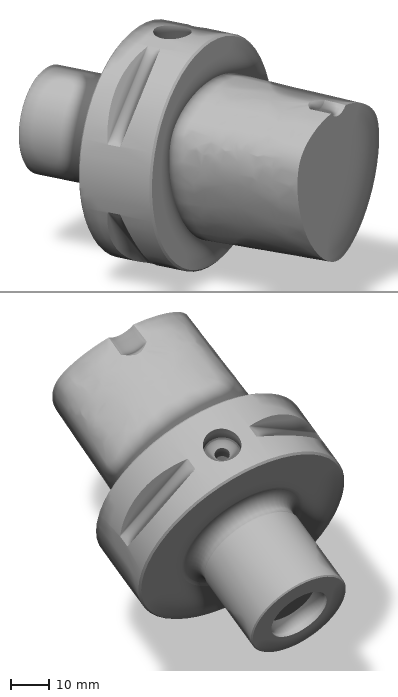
import cadquery as cq
import math

total_length = 88.0
relief_start = 23.1
relief_end = 24.9
flange_front = 28.0
flange_back = 50.0

pilot_radius = 29.0 / 2
pilot_chamfer = 0.35
relief_radius = 28.5 / 2
relief_ramp = 0.5
root_fillet = 3.3
recess_radius = 18.6
bore_radius = 17.0 / 2
bore_depth = 5.7

flange_radius = 63.0 / 2
flange_chamfer = 0.5

groove_x = 38.0
groove_floor_width = 3.7
groove_floor_distance = 27.9
groove_wall_angle = 30.0
groove_floor_fillet = 0.35
groove_angles = (45, 135, 225, 315)

pocket_radius = 10.0 / 2
pocket_depth = 4.75
pocket_floor_chamfer = 0.35
drill_radius = 4.0 / 2
drill_depth = 4.0
drill_point_angle = 118.0

shank_large_radius = 22.1
shank_small_radius = 21.0
lobe_height = 1.6
lobe_count = 3
outline_points = 48

notch_radius = 10.0 / 2
notch_length = 6.3
notch_axis_height = 22.5


def turned_body():
    """Pilot, relief, fillet and flange as one revolved profile."""
    fillet_end_x = relief_end + root_fillet
    fillet_end_radius = relief_radius + root_fillet
    fillet_mid = (
        relief_end + root_fillet * math.sin(math.pi / 4),
        fillet_end_radius - root_fillet * math.cos(math.pi / 4),
    )
    profile = (
        cq.Workplane("XY")
        .moveTo(0, 0)
        .lineTo(0, pilot_radius - pilot_chamfer)
        .lineTo(pilot_chamfer, pilot_radius)
        .lineTo(relief_start, pilot_radius)
        .lineTo(relief_start + relief_ramp, relief_radius)
        .lineTo(relief_end, relief_radius)
        .threePointArc(fillet_mid, (fillet_end_x, fillet_end_radius))
        .lineTo(flange_front, recess_radius)
        .lineTo(flange_front, flange_radius - flange_chamfer)
        .lineTo(flange_front + flange_chamfer, flange_radius)
        .lineTo(flange_back - flange_chamfer, flange_radius)
        .lineTo(flange_back, flange_radius - flange_chamfer)
        .lineTo(flange_back, 0)
        .close()
    )
    return profile.revolve(360, (0, 0, 0), (1, 0, 0))


def shank_outline(mean_radius):
    """Points of a constant-width curve in Y, Z with one lobe pointing down."""
    points = []
    for i in range(outline_points):
        angle = 2 * math.pi * i / outline_points
        lobe_phase = lobe_count * angle
        reach = mean_radius + lobe_height * math.sin(lobe_phase)
        shift = lobe_count * lobe_height * math.cos(lobe_phase)
        y = reach * math.cos(angle) - shift * math.sin(angle)
        z = reach * math.sin(angle) + shift * math.cos(angle)
        points.append((y, z))
    return points


def shank():
    return (
        cq.Workplane("YZ", origin=(flange_back, 0, 0))
        .spline(shank_outline(shank_large_radius), periodic=True)
        .close()
        .workplane(offset=total_length - flange_back)
        .spline(shank_outline(shank_small_radius), periodic=True)
        .close()
        .loft(ruled=True, combine=True)
    )


def bore():
    return cq.Workplane("YZ").circle(bore_radius).extrude(bore_depth)


def gripper_groove(angle):
    """Trapezoidal groove, drawn at the top and turned about X into place."""
    depth = flange_radius - groove_floor_distance
    floor_half = groove_floor_width / 2
    mouth_half = floor_half + depth * math.tan(math.radians(groove_wall_angle))
    cutter = (
        cq.Workplane("XZ")
        .polyline([
            (groove_x - floor_half, groove_floor_distance),
            (groove_x + floor_half, groove_floor_distance),
            (groove_x + mouth_half, flange_radius),
            (groove_x - mouth_half, flange_radius),
        ])
        .close()
        .extrude(flange_radius, both=True)
        .faces("<Z")
        .edges("|Y")
        .fillet(groove_floor_fillet)
    )
    return cutter.rotate((0, 0, 0), (1, 0, 0), angle)


def top_pocket():
    """Flat pocket with a small pointed drill hole in its floor."""
    floor = flange_radius - pocket_depth
    drill_end = floor - drill_depth
    point_length = drill_radius / math.tan(math.radians(drill_point_angle / 2))
    profile = (
        cq.Workplane("XZ", origin=(groove_x, 0, 0))
        .moveTo(0, flange_radius)
        .lineTo(pocket_radius, flange_radius)
        .lineTo(pocket_radius, floor + pocket_floor_chamfer)
        .lineTo(pocket_radius - pocket_floor_chamfer, floor)
        .lineTo(drill_radius, floor)
        .lineTo(drill_radius, drill_end)
        .lineTo(0, drill_end - point_length)
        .close()
    )
    return profile.revolve(360, (0, 0, 0), (0, 1, 0))


def orienting_notch():
    """Cylinder along X ending in a 45 degree cone."""
    cone_base = total_length - notch_length
    profile = (
        cq.Workplane("XZ", origin=(0, 0, notch_axis_height))
        .moveTo(cone_base - notch_radius, 0)
        .lineTo(cone_base, notch_radius)
        .lineTo(total_length, notch_radius)
        .lineTo(total_length, 0)
        .close()
    )
    return profile.revolve(360, (0, 0, 0), (1, 0, 0))


result = turned_body().union(shank()).cut(bore())
for groove_angle in groove_angles:
    result = result.cut(gripper_groove(groove_angle))
result = result.cut(top_pocket()).cut(orienting_notch())